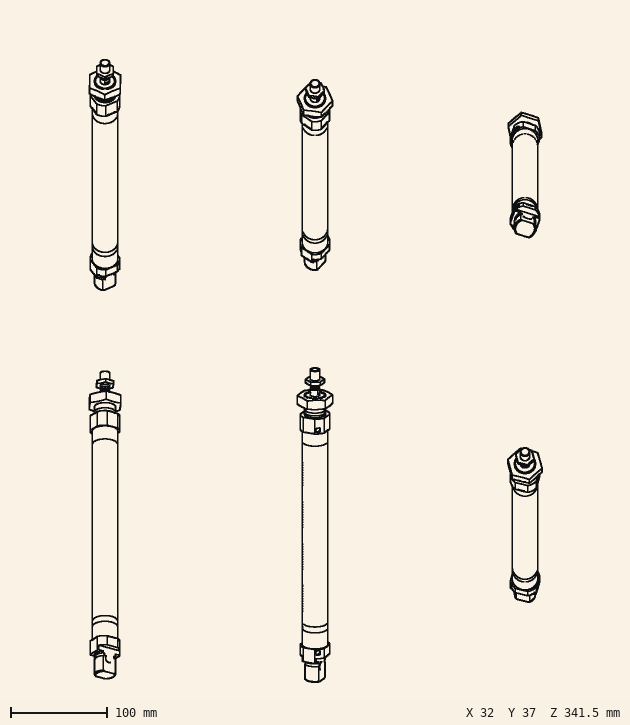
import cadquery as cq
import math

CAP_BOTTOM = 22.5
TANG_SHOULDER = 27.5
BARREL_BOTTOM = 38.0
BARREL_TOP = 275.5
BORE_BOTTOM = 55.3
PISTON_TOP = 61.8
BORE_TOP = 261.2
HEAD_TOP = 292.0
MOUNTING_NUT_BOTTOM = 303.0
MOUNTING_NUT_TOP = 313.0
ROD_NUT_BOTTOM = 326.5
ROD_NUT_TOP = 330.5
TOTAL_HEIGHT = 341.5

BARREL_DIA = 26.5
BORE_DIA = 25.0
BLOCK_DIA = 30.7
BLOCK_ACROSS_FLATS = 27.5
COLLAR_DIA = 22.0
COLLAR_CHAMFER = 1.0
GROOVE_DIA = 19.8
GROOVE_WIDTH = 3.0
GROOVE_SIDE_SLOPE = 0.7
GROOVE_FLOOR_RADIUS = 0.7
GROOVE_OFFSET = 2.0

TANG_THICKNESS = 16.0
EYE_HEIGHT = 15.7
EYE_DIA = 8.0
EYE_RIM_RADIUS = 1.7

SCREW_HOLE_DIA = 5.0
SCREW_HOLE_DEPTH = 2.7
SCREW_HOLE_ANGLE = 128
HEAD_SCREW_HEIGHT = 279.7
CAP_SCREW_HEIGHT = 34.0

ROD_DIA = 10.0
ROD_TIP_CHAMFER = 0.7
UNDERCUT_DIA = 8.5
UNDERCUT_TOP = 324.0
UNDERCUT_TOP_TAPER = 1.7
UNDERCUT_BOTTOM = 320.0
UNDERCUT_BOTTOM_TAPER = 1.0
WRENCH_FLATS_BOTTOM = 315.2
WRENCH_ACROSS_FLATS = 8.5

HALF_CORNER_ANGLE = 30
MOUNTING_NUT_ACROSS_CORNERS = 37.0
ROD_NUT_ACROSS_CORNERS = 19.8
NUT_CHAMFER_ANGLE = 15


def cylinder(diameter, bottom, top):
    return cq.Workplane("XY").workplane(offset=bottom).circle(diameter / 2).extrude(top - bottom)


def block(bottom, top):
    """Round block with four flats, facing +X, -X, +Y and -Y."""
    square = (
        cq.Workplane("XY")
        .workplane(offset=bottom)
        .rect(BLOCK_ACROSS_FLATS, BLOCK_ACROSS_FLATS)
        .extrude(top - bottom)
    )
    return cylinder(BLOCK_DIA, bottom, top).intersect(square)


def relief_groove(bottom):
    """Ring that cuts a groove with sloping sides and rounded floor corners."""
    outer = COLLAR_DIA / 2
    inner = GROOVE_DIA / 2
    top = bottom + GROOVE_WIDTH
    profile = [
        (outer, bottom),
        (inner, bottom + GROOVE_SIDE_SLOPE),
        (inner, top - GROOVE_SIDE_SLOPE),
        (outer, top),
    ]
    ring = cq.Workplane("XZ").polyline(profile).close().revolve(360, (0, 0, 0), (0, 1, 0))
    return ring.edges(cq.selectors.RadiusNthSelector(0)).fillet(GROOVE_FLOOR_RADIUS)


def tang_sides():
    """The two pieces beyond the flat sides of the eye tang, up to its shoulders in the cap."""
    around = cq.Workplane("XY").rect(2 * BLOCK_DIA, 2 * BLOCK_DIA).extrude(TANG_SHOULDER)
    tang = cq.Workplane("XY").rect(TANG_THICKNESS, 2 * BLOCK_DIA).extrude(TANG_SHOULDER)
    return around.cut(tang)


def eye_hole():
    """Hole along X through the tang, with a rounded rim on both sides."""
    side = TANG_THICKNESS / 2
    radius = EYE_DIA / 2
    rim_start = side - EYE_RIM_RADIUS
    rim_middle = EYE_RIM_RADIUS * math.sqrt(0.5)
    half = (
        cq.Workplane("XY")
        .lineTo(0, radius)
        .lineTo(rim_start, radius)
        .threePointArc(
            (rim_start + rim_middle, radius + EYE_RIM_RADIUS - rim_middle),
            (side, radius + EYE_RIM_RADIUS),
        )
        .lineTo(side, 0)
        .close()
        .revolve(360, (0, 0, 0), (1, 0, 0))
    )
    return half.union(half.mirror("YZ")).translate((0, 0, EYE_HEIGHT))


def screw_hole(height):
    """Blind radial hole in a rounded corner."""
    floor_distance = BLOCK_DIA / 2 - SCREW_HOLE_DEPTH
    return (
        cq.Workplane("YZ")
        .workplane(offset=floor_distance)
        .circle(SCREW_HOLE_DIA / 2)
        .extrude(2 * SCREW_HOLE_DEPTH)
        .rotate((0, 0, 0), (0, 0, 1), SCREW_HOLE_ANGLE)
        .translate((0, 0, height))
    )


def make_housing():
    tang = cylinder(COLLAR_DIA, 0, CAP_BOTTOM).faces("<Z").chamfer(COLLAR_CHAMFER)
    collar = cylinder(COLLAR_DIA, HEAD_TOP, MOUNTING_NUT_TOP).faces(">Z").chamfer(COLLAR_CHAMFER)
    body = (
        cylinder(BARREL_DIA, BARREL_BOTTOM, BARREL_TOP)
        .union(block(CAP_BOTTOM, BARREL_BOTTOM))
        .union(block(BARREL_TOP, HEAD_TOP))
        .union(tang)
        .union(collar)
    )
    return (
        body.cut(relief_groove(CAP_BOTTOM - GROOVE_OFFSET - GROOVE_WIDTH))
        .cut(relief_groove(HEAD_TOP + GROOVE_OFFSET))
        .cut(tang_sides())
        .cut(eye_hole())
        .cut(screw_hole(HEAD_SCREW_HEIGHT))
        .cut(screw_hole(CAP_SCREW_HEIGHT))
        .cut(cylinder(BORE_DIA, BORE_BOTTOM, BORE_TOP))
        .cut(cylinder(ROD_DIA, BORE_TOP, MOUNTING_NUT_TOP))
    )


def make_rod():
    """Rod with a piston at the bottom of the bore, a thread undercut and two wrench flats."""
    radius = ROD_DIA / 2
    neck = UNDERCUT_DIA / 2
    profile = [
        (0, BORE_BOTTOM),
        (BORE_DIA / 2, BORE_BOTTOM),
        (BORE_DIA / 2, PISTON_TOP),
        (radius, PISTON_TOP),
        (radius, UNDERCUT_BOTTOM),
        (neck, UNDERCUT_BOTTOM + UNDERCUT_BOTTOM_TAPER),
        (neck, UNDERCUT_TOP - UNDERCUT_TOP_TAPER),
        (radius, UNDERCUT_TOP),
        (radius, TOTAL_HEIGHT - ROD_TIP_CHAMFER),
        (radius - ROD_TIP_CHAMFER, TOTAL_HEIGHT),
        (0, TOTAL_HEIGHT),
    ]
    rod = cq.Workplane("XZ").polyline(profile).close().revolve(360, (0, 0, 0), (0, 1, 0))
    flats_height = UNDERCUT_BOTTOM - WRENCH_FLATS_BOTTOM
    zone = cq.Workplane("XY").workplane(offset=WRENCH_FLATS_BOTTOM)
    around = zone.rect(2 * ROD_DIA, 2 * ROD_DIA).extrude(flats_height)
    kept = zone.rect(WRENCH_ACROSS_FLATS, 2 * ROD_DIA).extrude(flats_height)
    return rod.cut(around.cut(kept))


def make_nut(across_corners, hole_dia, bottom, top):
    """Hexagon nut whose corners are chamfered at both ends."""
    corner_radius = across_corners / 2
    chamfer_radius = corner_radius * math.cos(math.radians(HALF_CORNER_ANGLE))
    chamfer_height = (corner_radius - chamfer_radius) * math.tan(math.radians(NUT_CHAMFER_ANGLE))
    hexagon = (
        cq.Workplane("XY")
        .workplane(offset=bottom)
        .polygon(6, across_corners)
        .extrude(top - bottom)
        .rotate((0, 0, 0), (0, 0, 1), HALF_CORNER_ANGLE)
    )
    envelope_profile = [
        (0, bottom),
        (chamfer_radius, bottom),
        (corner_radius, bottom + chamfer_height),
        (corner_radius, top - chamfer_height),
        (chamfer_radius, top),
        (0, top),
    ]
    envelope = cq.Workplane("XZ").polyline(envelope_profile).close().revolve(360, (0, 0, 0), (0, 1, 0))
    return hexagon.intersect(envelope).cut(cylinder(hole_dia, bottom, top))


housing = make_housing()
rod = make_rod()
mounting_nut = make_nut(MOUNTING_NUT_ACROSS_CORNERS, COLLAR_DIA, MOUNTING_NUT_BOTTOM, MOUNTING_NUT_TOP)
rod_nut = make_nut(ROD_NUT_ACROSS_CORNERS, ROD_DIA, ROD_NUT_BOTTOM, ROD_NUT_TOP)

result = cq.Compound.makeCompound([housing.val(), rod.val(), mounting_nut.val(), rod_nut.val()])